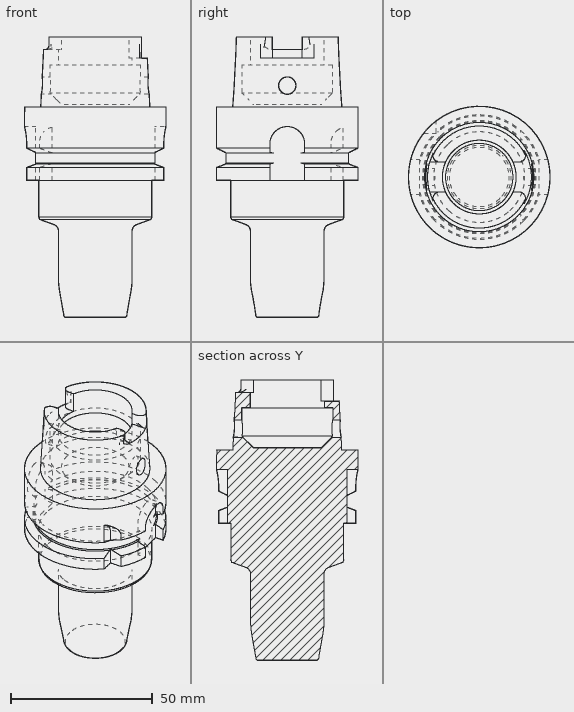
import cadquery as cq
import math

height = 98.9

taper_base_z = 74.2
taper_base_radius = 19.3
taper_top_radius = 18.0

flange_radius = 49.9 / 2
flange_bottom_z = 48.3
groove_radius = 43.2 / 2
groove_corner_bevel = 0.4
groove_floor_bottom_z = 54.4
groove_floor_top_z = 58.0
groove_mouth_bottom_z = 52.8
groove_mouth_top_z = 59.6

body_radius = 40.0 / 2
body_edge_z = 35.4
body_edge_height = 0.9
body_edge_inset = 0.3
shoulder_angle = math.radians(19)
shoulder_fillet = 2.5

neck_radius = 26.0 / 2
neck_top_z = 30.4
nose_angle = math.radians(10)
nose_blend_radius = 18.8
nose_top_z = 13.1
end_radius = 10.5
end_rounding = 1.1

bore_radius = 26.0 / 2
bore_lip_z = 89.0
chamber_radius = 32.0 / 2
chamber_wall_bottom_z = 79.1
chamber_floor_z = 75.0
floor_radius = 11.9

cross_hole_diameter = 6.0
cross_hole_z = 81.7

notch_half_width = 5.2
left_notch_floor_z = 94.45
right_notch_floor_z = 91.4
lobe_corner_radius = 2.4
lobe_corner_x = 13.9
lobe_flare_width = 4.2
lobe_base_fillet = 1.5

slot_radius = 6.1
slot_arc_z = 61.1
slot_floor_x = 21.1
index_floor_x = 15.3
index_wall_y = 15.3


def turned_body():
    """Outside of the holder as one revolved profile."""
    shoulder_r = neck_radius + shoulder_fillet * (1 - math.sin(shoulder_angle))
    shoulder_z = neck_top_z + shoulder_fillet * math.cos(shoulder_angle)
    fillet_mid_angle = (math.pi / 2 + shoulder_angle + math.pi) / 2
    fillet_mid = (
        neck_radius + shoulder_fillet * (1 + math.cos(fillet_mid_angle)),
        neck_top_z + shoulder_fillet * math.sin(fillet_mid_angle),
    )

    def nose_blend_point(angle):
        return (
            neck_radius - nose_blend_radius * (1 - math.cos(angle)),
            nose_top_z - nose_blend_radius * math.sin(angle),
        )

    nose_r, nose_z = nose_blend_point(nose_angle)
    nose_end_r = nose_r - (nose_z - end_rounding) * math.tan(nose_angle)
    end_arc_mid = (
        end_radius + (nose_end_r - end_radius) * math.sqrt(0.5),
        end_rounding * (1 - math.sqrt(0.5)),
    )
    profile = (
        cq.Workplane("XZ")
        .lineTo(end_radius, 0)
        .threePointArc(end_arc_mid, (nose_end_r, end_rounding))
        .lineTo(nose_r, nose_z)
        .threePointArc(nose_blend_point(nose_angle / 2), (neck_radius, nose_top_z))
        .lineTo(neck_radius, neck_top_z)
        .threePointArc(fillet_mid, (shoulder_r, shoulder_z))
        .lineTo(body_radius - body_edge_inset, body_edge_z - body_edge_height)
        .lineTo(body_radius, body_edge_z)
        .lineTo(body_radius, flange_bottom_z)
        .lineTo(flange_radius, flange_bottom_z)
        .lineTo(flange_radius, groove_mouth_bottom_z)
        .lineTo(groove_radius + groove_corner_bevel, groove_floor_bottom_z - groove_corner_bevel)
        .lineTo(groove_radius, groove_floor_bottom_z)
        .lineTo(groove_radius, groove_floor_top_z)
        .lineTo(flange_radius, groove_mouth_top_z)
        .lineTo(flange_radius, taper_base_z)
        .lineTo(taper_base_radius, taper_base_z)
        .lineTo(taper_top_radius, height)
        .lineTo(0, height)
        .close()
    )
    return profile.revolve(360, (0, 0, 0), (0, 1, 0))


def bore():
    """Bore, clamping chamber and the conical rim around its flat floor."""
    return (
        cq.Workplane("XZ")
        .moveTo(0, height)
        .lineTo(bore_radius, height)
        .lineTo(bore_radius, bore_lip_z)
        .lineTo(chamber_radius, bore_lip_z)
        .lineTo(chamber_radius, chamber_wall_bottom_z)
        .lineTo(floor_radius, chamber_floor_z)
        .lineTo(0, chamber_floor_z)
        .close()
        .revolve(360, (0, 0, 0), (0, 1, 0))
    )


def drive_notch(floor_z, base_fillet):
    """Notch on the +X side whose walls round outward into the lobe ends."""
    depth = height - floor_z
    reach = flange_radius
    notch = cq.Workplane("XY").box(reach, 2 * notch_half_width, depth, centered=(False, True, False))

    corner = cq.Workplane("XZ").lineTo(lobe_corner_radius + base_fillet, 0)
    if base_fillet > 0:
        arc_inset = base_fillet * (1 - math.sqrt(0.5))
        corner = corner.threePointArc(
            (lobe_corner_radius + arc_inset, arc_inset), (lobe_corner_radius, base_fillet)
        )
    corner = (
        corner.lineTo(lobe_corner_radius, depth)
        .lineTo(0, depth)
        .close()
        .revolve(360, (0, 0, 0), (0, 1, 0))
        .translate((lobe_corner_x, notch_half_width + lobe_corner_radius, 0))
    )
    flare = (
        cq.Workplane("XY")
        .box(reach - lobe_corner_x, lobe_flare_width, depth, centered=False)
        .translate((lobe_corner_x, notch_half_width, 0))
        .cut(corner)
    )
    return notch.union(flare).union(flare.mirror("XZ")).translate((0, 0, floor_z))


def flange_slot(floor_x, center_y):
    """Round-topped slot on the +X side, open through the underside of the flange."""
    return (
        cq.Workplane("YZ", origin=(floor_x, center_y, 0))
        .moveTo(-slot_radius, flange_bottom_z)
        .lineTo(slot_radius, flange_bottom_z)
        .lineTo(slot_radius, slot_arc_z)
        .threePointArc((0, slot_arc_z + slot_radius), (-slot_radius, slot_arc_z))
        .close()
        .extrude(flange_radius - floor_x)
    )


def cross_hole():
    return (
        cq.Workplane("YZ", origin=(0, 0, cross_hole_z))
        .circle(cross_hole_diameter / 2)
        .extrude(flange_radius, both=True)
    )


key_slot = flange_slot(slot_floor_x, 0)
index_notch = flange_slot(index_floor_x, index_wall_y + slot_radius).mirror("YZ")

result = (
    turned_body()
    .cut(bore())
    .cut(cross_hole())
    .cut(drive_notch(right_notch_floor_z, 0))
    .cut(drive_notch(left_notch_floor_z, lobe_base_fillet).mirror("YZ"))
    .cut(key_slot)
    .cut(key_slot.mirror("YZ"))
    .cut(index_notch)
)